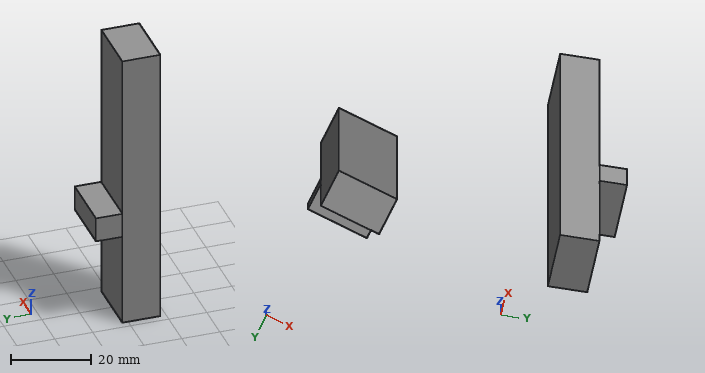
import cadquery as cq

bar_width = 16.2
bar_depth = 10.0
bar_height = 75.8

block_width = 16.45
block_depth = 7.0
block_height = 6.7
block_bottom = 25.0

bar = cq.Workplane("XY").box(bar_width, bar_depth, bar_height, centered=(True, False, False))

block = (
    cq.Workplane("XY")
    .box(block_width, block_depth, block_height, centered=(True, False, False))
    .translate((0, bar_depth, block_bottom))
)

result = bar.union(block)